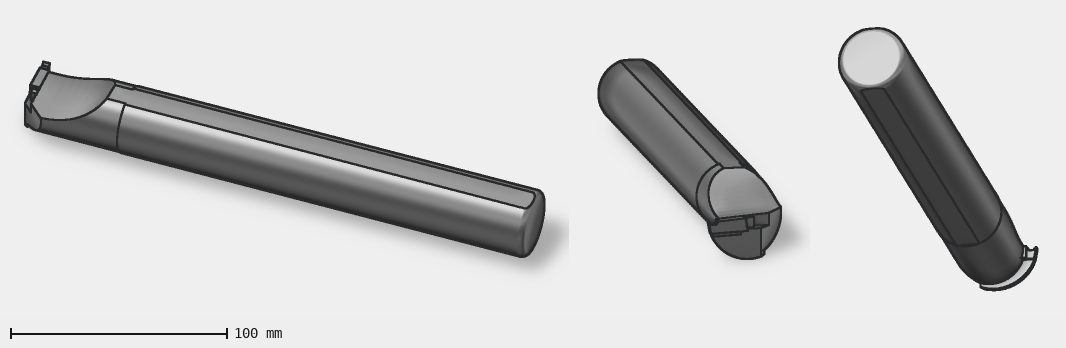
import cadquery as cq
import math

length = 250.0
shank_radius = 16.0
neck_radius = 15.8
neck_length = 50.0
step_bevel = 0.8
end_rounding = 3.0
flat_height = 15.0
margin = 25.0

floor_tilt = 3.3
floor_height = 1.55
scoop_start = 10.0
scoop_radius = 43.0

blade_center_y = 2.2
blade_center_z = 1.0
blade_radius = 19.2
blade_thickness = 2.0
nose_chamfer_y = -3.2

seat_depth = 4.8
seat_floor = -3.8
insert_end_top_y = 4.0
insert_end_bottom_y = 3.0
insert_bottom_inner = -4.8
insert_bottom_outer = -5.2
insert_bottom_outer_y = 20.5
tip_y = 21.5
tip_height = 0.2
tip_width = 3.2
tip_start_y = 17.0
chip_groove_floor = -1.05
chip_groove_outer_y = 20.2
chip_groove_inner_y = 18.2
stop_front = 1.8
stop_end_y = -0.2
stop_bevel_y = 2.2
stop_bevel_drop = 0.8
stop_drop = 0.2

relief_depth = 0.2
relief_height = 1.5
relief_inner_y = 6.2


def floor_z(y):
    """Height of the tilted scoop floor at a given y."""
    return floor_height - y * math.tan(math.radians(floor_tilt))


def box(x_range, y_range, z_range):
    corner = (x_range[0], y_range[0], z_range[0])
    size = [r[1] - r[0] for r in (x_range, y_range, z_range)]
    return cq.Workplane("XY").box(*size, centered=False).translate(corner)


def along_x(points, depth):
    """Prism with a YZ outline, reaching from x = 0 to the given depth."""
    return cq.Workplane("YZ").polyline(points).close().extrude(depth)


def make_bar():
    """Shank with a rounded rear end, bevelled down to the neck."""
    arc_inset = end_rounding * (1 - math.sqrt(0.5))
    profile = (
        cq.Workplane("XY")
        .lineTo(0, neck_radius)
        .lineTo(neck_length, neck_radius)
        .lineTo(neck_length + step_bevel, shank_radius)
        .lineTo(length - end_rounding, shank_radius)
        .threePointArc(
            (length - arc_inset, shank_radius - arc_inset),
            (length, shank_radius - end_rounding),
        )
        .lineTo(length, 0)
        .close()
    )
    bar = profile.revolve(360, (0, 0, 0), (1, 0, 0))
    across = (-margin, margin)
    top = box((-margin, length + margin), across, (flat_height, margin))
    bottom = box((neck_length, length + margin), across, (-margin, -flat_height))
    return bar.cut(top).cut(bottom)


def make_blade():
    """Lower part of a disc that carries the insert."""
    disc = (
        cq.Workplane("YZ")
        .center(blade_center_y, blade_center_z)
        .circle(blade_radius)
        .extrude(blade_thickness)
    )
    above_seat = along_x(
        [
            (-margin, seat_floor),
            (insert_end_bottom_y, seat_floor),
            (insert_end_bottom_y, insert_bottom_inner),
            (insert_bottom_outer_y, insert_bottom_outer),
            (margin, insert_bottom_outer),
            (margin, margin),
            (-margin, margin),
        ],
        seat_depth,
    )
    return disc.cut(above_seat)


def make_scoop():
    """Material removed above the chip floor."""
    rise_angle = math.radians(60)
    end_x = scoop_start + scoop_radius * math.sin(rise_angle)
    end_z = scoop_radius * (1 - math.cos(rise_angle))
    mid_x = scoop_start + scoop_radius * math.sin(rise_angle / 2)
    mid_z = scoop_radius * (1 - math.cos(rise_angle / 2))
    return (
        cq.Workplane("XZ")
        .moveTo(-margin, 0)
        .lineTo(scoop_start, 0)
        .threePointArc((mid_x, mid_z), (end_x, end_z))
        .lineTo(end_x, margin)
        .lineTo(-margin, margin)
        .close()
        .extrude(margin, both=True)
        .rotate((0, 0, 0), (1, 0, 0), -floor_tilt)
        .translate((0, 0, floor_height))
    )


def make_nose_chamfer():
    run = margin
    return (
        cq.Workplane("XY")
        .polyline([(0, nose_chamfer_y), (run, nose_chamfer_y - run), (0, nose_chamfer_y - run)])
        .close()
        .extrude(margin, both=True)
    )


def make_insert():
    body = along_x(
        [
            (insert_end_top_y, floor_z(insert_end_top_y)),
            (tip_start_y, floor_z(tip_start_y)),
            (chip_groove_inner_y, chip_groove_floor),
            (chip_groove_outer_y, chip_groove_floor),
            (tip_y, tip_height),
            (insert_bottom_outer_y, insert_bottom_outer),
            (insert_end_bottom_y, insert_bottom_inner),
        ],
        seat_depth,
    )
    tip_side = box((tip_width, margin), (tip_start_y, margin), (-margin, margin))
    return body.cut(tip_side)


def make_seat():
    """Open pocket in the nose, ending beside the insert."""
    return box((0, seat_depth), (-margin, insert_end_top_y), (seat_floor, margin))


def make_stop():
    """Small post that the inner end of the insert rests against."""
    top_z = floor_height - stop_drop
    post = along_x(
        [
            (stop_end_y, seat_floor),
            (stop_end_y, top_z),
            (stop_bevel_y, top_z),
            (insert_end_top_y, top_z - stop_bevel_drop),
            (insert_end_top_y, seat_floor),
        ],
        seat_depth - stop_front,
    )
    return post.translate((stop_front, 0, 0))


def make_relief():
    return along_x(
        [
            (relief_inner_y, insert_bottom_inner),
            (margin, insert_bottom_outer),
            (margin, insert_bottom_outer - relief_height),
            (relief_inner_y, insert_bottom_inner - relief_height),
        ],
        relief_depth,
    )


insert = make_insert()
holder = make_bar().union(make_blade()).cut(make_scoop()).cut(make_seat()).union(make_stop())
holder = holder.cut(make_nose_chamfer()).cut(make_relief()).cut(insert)

result = cq.Compound.makeCompound([holder.solids().val(), insert.solids().val()])